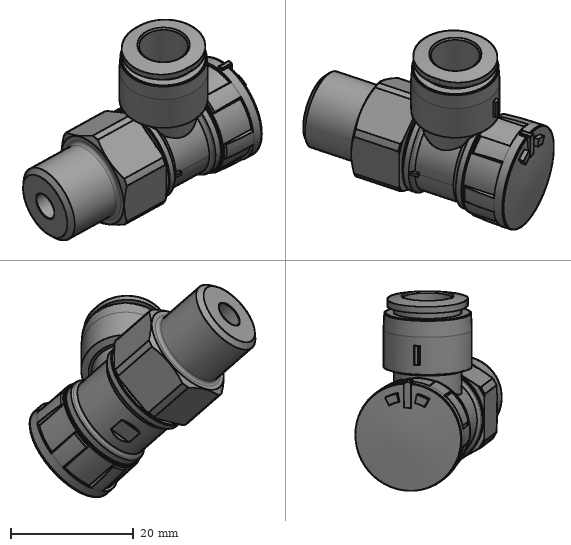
import cadquery as cq
import math


THREAD_END_Y = -25.1
THREAD_CHAMFER_LENGTH = 0.85
HEX_FRONT_Y = -15.05
HEX_BACK_Y = -6.1
FRONT_FLANGE_START_Y = -5.55
FRONT_FLANGE_EDGE_Y = -5.35
FRONT_FLANGE_END_Y = -4.35
REAR_FLANGE_START_Y = 4.3
REAR_FLANGE_END_Y = 5.43
CAP_START_Y = 5.75
RIB_START_Y = 5.9
RIB_CREST_START_Y = 6.22
RIM_START_Y = 11.73
RIM_EDGE_Y = 13.3
RIM_END_Y = 13.55
CAP_APEX_Y = 14.15
MARK_TOP_Y = 14.5

THREAD_DIAMETER = 13.15
THREAD_END_DIAMETER = 11.37
THREAD_ROOT_FILLET = 0.6
NECK_DIAMETER = 14.22
FLANGE_DIAMETER = 16.25
FLANGE_EDGE_DIAMETER = 16.1
FLANGE_SHOULDER_DIAMETER = 15.75
FLANGE_SHOULDER_LENGTH = 0.25
FLANGE_SLOPE_LENGTH = 0.55
BARREL_DIAMETER = 14.9
STEP_DIAMETER = 16.65
GRIP_DIAMETER = 16.9
RIB_END_DIAMETER = 17.35
RIM_DIAMETER = 17.9
RIM_EDGE_DIAMETER = 17.75

HEX_ACROSS_FLATS = 16.13
HEX_CORNER_DIAMETER = 17.9
HEX_CHAMFER_DIAMETER = 15.93
HEX_CHAMFER_ANGLE = 30
HEX_BACK_CHAMFER = 0.2

RIB_COUNT = 6
RIB_ROOT_WIDTH = 3.25
RIB_CREST_WIDTH = 2.85
PANEL_CUT_MARGIN = 0.8
POINTER_WIDTH = 1.1
POINTER_CHAMFER = 0.2
POINTER_START_Y = 12.12
POINTER_END_Y = 14.15
POINTER_BOTTOM_Z = 5.0
POINTER_TOP_Z = 9.27
MARK_INNER_RADIUS = 6.1
MARK_OUTER_RADIUS = 7.53
MARK_START_ANGLE = 13
MARK_END_ANGLE = 29

FLAT_DEPTH = 0.28
FLAT_LENGTH = 2.6
FLAT_OPENING_LENGTH = 3.55
PAD_WIDTH = 4.12
PAD_DIAMETER = 11.25
STOP_OUTER_X = 7.95
STOP_LENGTH = 1.6
STOP_THICKNESS = 0.6

PORT_NECK_DIAMETER = 11.15
SLEEVE_DIAMETER = 14.5
SLEEVE_BASE_DIAMETER = 12.05
SLEEVE_TOP_DIAMETER = 14.22
SLEEVE_TOP_CHAMFER_WIDTH = 0.25
SLEEVE_TOP_CHAMFER_HEIGHT = 0.1
SLEEVE_BASE_Z = 8.87
SLEEVE_CHAMFER_Z = 9.3
SLEEVE_TAPER_Z = 15.57
SLEEVE_TOP_Z = 18.3
COLLET_BASE_Z = 19.45
COLLET_EDGE_Z = 20.52
PORT_TOP_Z = 21.05
COLLET_WIDTH = 13.0
COLLET_FLAT_LENGTH = 0.87
TAB_WIDTH = 0.95
TAB_CHAMFER = 0.2
TAB_END_Y = 7.85
TAB_BOTTOM_Z = 10.95
TAB_TOP_Z = 14.1

FLOW_BORE_DIAMETER = 4.5
FLOW_BORE_CHAMFER = 0.08
POCKET_HALF_LENGTH = 2.95
HOSE_BORE_DIAMETER = 8.0
HOSE_BORE_MOUTH_DIAMETER = 8.55
STOP_BORE_DIAMETER = 7.0
HOSE_SHOULDER_Z = 10.3
STOP_BORE_FLOOR_Z = 3.95


def cylinder_z(diameter, z_start, z_end):
    """Solid cylinder on the port axis between two heights."""
    return cq.Workplane("XY", origin=(0, 0, z_start)).circle(diameter / 2).extrude(z_end - z_start)


def block(x_range, y_range, z_range):
    """Box given by its limits along each axis."""
    corner = (x_range[0], y_range[0], z_range[0])
    sizes = (x_range[1] - x_range[0], y_range[1] - y_range[0], z_range[1] - z_range[0])
    return cq.Workplane("XY").box(*sizes, centered=False).translate(corner)


def turned(plane, points):
    """Solid of revolution about the plane's vertical axis from (diameter, position) pairs."""
    outline = [(diameter / 2, position) for diameter, position in points]
    outline.insert(0, (0, points[0][1]))
    outline.append((0, points[-1][1]))
    return cq.Workplane(plane).polyline(outline).close().revolve(360, (0, 0, 0), (0, 1, 0))


def turned_y(points):
    """Solid of revolution about the main axis."""
    return turned("XY", points)


def turned_z(points):
    """Solid of revolution about the port axis."""
    return turned("XZ", points)


def make_thread():
    """Thread stub with an end chamfer and a concave fillet up to the hexagon."""
    radius = THREAD_DIAMETER / 2
    fillet = THREAD_ROOT_FILLET
    arc_offset = fillet * (1 - math.sqrt(0.5))
    return (
        cq.Workplane("XY")
        .moveTo(0, THREAD_END_Y)
        .lineTo(THREAD_END_DIAMETER / 2, THREAD_END_Y)
        .lineTo(radius, THREAD_END_Y + THREAD_CHAMFER_LENGTH)
        .lineTo(radius, HEX_FRONT_Y - fillet)
        .threePointArc((radius + arc_offset, HEX_FRONT_Y - arc_offset), (radius + fillet, HEX_FRONT_Y))
        .lineTo(0, HEX_FRONT_Y)
        .close()
        .revolve(360, (0, 0, 0), (0, 1, 0))
    )


def make_hexagon():
    """Hexagon with corners on the Z axis, trimmed round and chamfered at both ends."""
    chamfer_height = (HEX_CORNER_DIAMETER - HEX_CHAMFER_DIAMETER) / 2
    chamfer_length = chamfer_height * math.tan(math.radians(HEX_CHAMFER_ANGLE))
    across_corners = HEX_ACROSS_FLATS / math.cos(math.radians(30))
    prism = (
        cq.Workplane("XZ", origin=(0, HEX_FRONT_Y, 0))
        .transformed(rotate=(0, 0, 30))
        .polygon(6, across_corners)
        .extrude(HEX_FRONT_Y - HEX_BACK_Y)
    )
    envelope = turned_y([
        (HEX_CHAMFER_DIAMETER, HEX_FRONT_Y),
        (HEX_CORNER_DIAMETER, HEX_FRONT_Y + chamfer_length),
        (HEX_CORNER_DIAMETER, HEX_BACK_Y - HEX_BACK_CHAMFER),
        (HEX_CORNER_DIAMETER - 2 * HEX_BACK_CHAMFER, HEX_BACK_Y),
    ])
    return prism.intersect(envelope)


def make_barrel():
    """Turned barrel with a flange at each end and a shallow flat underneath."""
    front_shoulder_y = FRONT_FLANGE_END_Y + FLANGE_SHOULDER_LENGTH
    rear_shoulder_y = REAR_FLANGE_START_Y - FLANGE_SHOULDER_LENGTH
    barrel = turned_y([
        (NECK_DIAMETER, HEX_BACK_Y),
        (NECK_DIAMETER, FRONT_FLANGE_START_Y),
        (FLANGE_EDGE_DIAMETER, FRONT_FLANGE_START_Y),
        (FLANGE_DIAMETER, FRONT_FLANGE_EDGE_Y),
        (FLANGE_DIAMETER, FRONT_FLANGE_END_Y),
        (FLANGE_SHOULDER_DIAMETER, front_shoulder_y),
        (BARREL_DIAMETER, front_shoulder_y + FLANGE_SLOPE_LENGTH),
        (BARREL_DIAMETER, rear_shoulder_y - FLANGE_SLOPE_LENGTH),
        (FLANGE_SHOULDER_DIAMETER, rear_shoulder_y),
        (FLANGE_DIAMETER, REAR_FLANGE_START_Y),
        (FLANGE_DIAMETER, REAR_FLANGE_END_Y),
        (STEP_DIAMETER, REAR_FLANGE_END_Y),
        (STEP_DIAMETER, CAP_START_Y),
    ])
    barrel_bottom_z = -BARREL_DIAMETER / 2
    flat = (
        cq.Workplane("YZ")
        .polyline([
            (-FLAT_OPENING_LENGTH / 2, barrel_bottom_z),
            (-FLAT_LENGTH / 2, barrel_bottom_z + FLAT_DEPTH),
            (FLAT_LENGTH / 2, barrel_bottom_z + FLAT_DEPTH),
            (FLAT_OPENING_LENGTH / 2, barrel_bottom_z),
        ])
        .close()
        .extrude(BARREL_DIAMETER / 2, both=True)
    )
    return barrel.cut(flat)


def make_barrel_details():
    """Thin raised pad on the front of the port neck and a small stop on the +X side."""
    pad_limits = block(
        (-PAD_WIDTH / 2, PAD_WIDTH / 2),
        (-PAD_DIAMETER / 2, 0),
        (0, SLEEVE_BASE_Z),
    )
    pad = cylinder_z(PAD_DIAMETER, 0, SLEEVE_BASE_Z).intersect(pad_limits)
    stop = block(
        (0, STOP_OUTER_X),
        (FRONT_FLANGE_END_Y, FRONT_FLANGE_END_Y + STOP_LENGTH),
        (-STOP_THICKNESS / 2, STOP_THICKNESS / 2),
    )
    return pad.union(stop)


def make_rib_wedge():
    """Prism around one rib on the +X side, narrowing from the rib root to the rib crest."""
    root_x = math.sqrt(GRIP_DIAMETER**2 - RIB_ROOT_WIDTH**2) / 2
    crest_x = RIM_DIAMETER / 2
    upper_side = [
        (0, RIB_ROOT_WIDTH / 2),
        (root_x, RIB_ROOT_WIDTH / 2),
        (crest_x, RIB_CREST_WIDTH / 2),
        (crest_x + PANEL_CUT_MARGIN, RIB_CREST_WIDTH / 2),
    ]
    lower_side = [(x, -z) for x, z in reversed(upper_side)]
    return (
        cq.Workplane("XZ", origin=(0, CAP_START_Y, 0))
        .polyline(upper_side + lower_side)
        .close()
        .extrude(CAP_START_Y - RIM_END_Y)
    )


def make_cap():
    """Round cap with a conical end face; recessed panels below the rim leave tapered grip ribs."""
    cap = (
        cq.Workplane("XY")
        .moveTo(0, CAP_APEX_Y)
        .lineTo(RIM_EDGE_DIAMETER / 2, RIM_END_Y)
        .lineTo(RIM_DIAMETER / 2, RIM_EDGE_Y)
        .lineTo(RIM_DIAMETER / 2, RIM_START_Y)
        .tangentArcPoint((RIB_END_DIAMETER / 2, RIB_CREST_START_Y), relative=False)
        .lineTo(GRIP_DIAMETER / 2, RIB_START_Y)
        .lineTo(GRIP_DIAMETER / 2, CAP_START_Y)
        .lineTo(0, CAP_START_Y)
        .close()
        .revolve(360, (0, 0, 0), (0, 1, 0))
    )
    panels = (
        cq.Workplane("XZ", origin=(0, CAP_START_Y, 0))
        .circle(RIM_DIAMETER / 2 + PANEL_CUT_MARGIN)
        .circle(GRIP_DIAMETER / 2)
        .extrude(CAP_START_Y - RIM_START_Y)
    )
    wedge = make_rib_wedge()
    for index in range(RIB_COUNT):
        panels = panels.cut(wedge.rotate((0, 0, 0), (0, 1, 0), index * 360 / RIB_COUNT))
    return cap.cut(panels)


def make_cap_marks():
    """Pointer over the rim at the top and two raised arc marks beside it."""
    pointer = block(
        (-POINTER_WIDTH / 2, POINTER_WIDTH / 2),
        (POINTER_START_Y, POINTER_END_Y),
        (POINTER_BOTTOM_Z, POINTER_TOP_Z),
    )
    pointer = pointer.edges("|Y and >Z").chamfer(POINTER_CHAMFER)

    def polar(radius, angle):
        return (radius * math.sin(math.radians(angle)), radius * math.cos(math.radians(angle)))

    middle_angle = (MARK_START_ANGLE + MARK_END_ANGLE) / 2
    mark = (
        cq.Workplane("XZ", origin=(0, RIM_START_Y, 0))
        .moveTo(*polar(MARK_INNER_RADIUS, MARK_START_ANGLE))
        .threePointArc(polar(MARK_INNER_RADIUS, middle_angle), polar(MARK_INNER_RADIUS, MARK_END_ANGLE))
        .lineTo(*polar(MARK_OUTER_RADIUS, MARK_END_ANGLE))
        .threePointArc(polar(MARK_OUTER_RADIUS, middle_angle), polar(MARK_OUTER_RADIUS, MARK_START_ANGLE))
        .close()
        .extrude(RIM_START_Y - MARK_TOP_Y)
    )
    return pointer.union(mark).union(mark.mirror("YZ"))


def make_port():
    """Port neck, tapered sleeve with a small rear tab, and the collet on top."""
    stem = turned_z([
        (PORT_NECK_DIAMETER, 0),
        (PORT_NECK_DIAMETER, SLEEVE_BASE_Z),
        (SLEEVE_BASE_DIAMETER, SLEEVE_BASE_Z),
        (SLEEVE_DIAMETER, SLEEVE_CHAMFER_Z),
        (SLEEVE_DIAMETER, SLEEVE_TAPER_Z),
        (SLEEVE_TOP_DIAMETER, SLEEVE_TOP_Z - SLEEVE_TOP_CHAMFER_HEIGHT),
        (SLEEVE_TOP_DIAMETER - 2 * SLEEVE_TOP_CHAMFER_WIDTH, SLEEVE_TOP_Z),
        (PORT_NECK_DIAMETER, SLEEVE_TOP_Z),
        (PORT_NECK_DIAMETER, COLLET_BASE_Z),
    ])
    tab = block((-TAB_WIDTH / 2, TAB_WIDTH / 2), (0, TAB_END_Y), (TAB_BOTTOM_Z, TAB_TOP_Z))
    tab = tab.edges("|Z and >Y").chamfer(TAB_CHAMFER)
    return stem.union(tab).union(make_collet())


def make_collet():
    """Oblong collet flange, longer along Y, under a shallow conical top face."""
    length = COLLET_WIDTH + COLLET_FLAT_LENGTH
    flange = (
        cq.Workplane("XY", origin=(0, 0, COLLET_BASE_Z))
        .slot2D(length, COLLET_WIDTH, 90)
        .extrude(PORT_TOP_Z - COLLET_BASE_Z)
    )
    crown = turned_z([
        (length, COLLET_BASE_Z),
        (length, COLLET_EDGE_Z),
        (HOSE_BORE_MOUTH_DIAMETER, PORT_TOP_Z),
    ])
    return flange.intersect(crown)


def make_passages():
    """Stepped hose bore down the port, meeting a round-ended flow bore from the thread end."""
    mouth_chamfer = (HOSE_BORE_MOUTH_DIAMETER - HOSE_BORE_DIAMETER) / 2
    hose_bore = turned_z([
        (STOP_BORE_DIAMETER, STOP_BORE_FLOOR_Z),
        (STOP_BORE_DIAMETER, HOSE_SHOULDER_Z),
        (HOSE_BORE_DIAMETER, HOSE_SHOULDER_Z),
        (HOSE_BORE_DIAMETER, PORT_TOP_Z - mouth_chamfer),
        (HOSE_BORE_MOUTH_DIAMETER, PORT_TOP_Z),
    ])
    pocket_limits = block(
        (-STOP_BORE_DIAMETER / 2, STOP_BORE_DIAMETER / 2),
        (-POCKET_HALF_LENGTH, POCKET_HALF_LENGTH),
        (0, STOP_BORE_FLOOR_Z),
    )
    pocket = cylinder_z(STOP_BORE_DIAMETER, 0, STOP_BORE_FLOOR_Z).intersect(pocket_limits)

    dome_center_y = POCKET_HALF_LENGTH - FLOW_BORE_DIAMETER / 2
    dome = cq.Workplane("XY").sphere(FLOW_BORE_DIAMETER / 2).translate((0, dome_center_y, 0))
    flow_bore = turned_y([
        (FLOW_BORE_DIAMETER + 2 * FLOW_BORE_CHAMFER, THREAD_END_Y),
        (FLOW_BORE_DIAMETER, THREAD_END_Y + FLOW_BORE_CHAMFER),
        (FLOW_BORE_DIAMETER, dome_center_y),
    ])
    return hose_bore.union(pocket).union(flow_bore).union(dome)


result = make_thread()
for feature in (
    make_hexagon(),
    make_barrel(),
    make_barrel_details(),
    make_cap(),
    make_cap_marks(),
    make_port(),
):
    result = result.union(feature)
result = result.cut(make_passages())